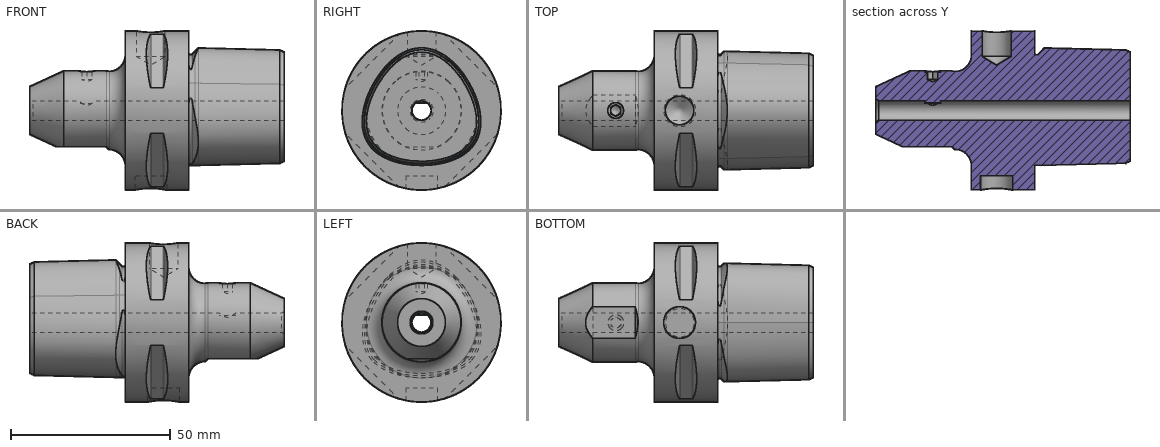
import cadquery as cq
import math

cone_end_x = 10.7
flange_front_x = 30.0
flange_back_x = 50.0
shank_neck_x = 51.9
taper_start_x = 52.9
taper_end_x = 78.5
total_length = 80.0

tip_diameter = 15.0
nose_diameter = 25.0
band_diameter = 24.6
band_start_x = 24.0
root_fillet = 5.0
flange_diameter = 50.0

nose_flat_z = -11.4

shank_mean_radius = 18.5
lobe_height = 1.2
points_per_lobe = 24
taper_per_length = 0.025
end_chamfer = 0.7

relief_diameter = 35.7
relief_hollow = 0.2
relief_floor_width = 1.1
relief_depth = 3.2

bore_diameter = 6.0
mouth_diameter = 7.2
mouth_depth = 1.0

screw_x = 17.9
screw_diameter = 5.0
screw_tip_z = 2.3
screw_top_z = 12.2
socket_width = 3.2
socket_depth = 2.4
socket_cone_depth = 0.6

drill_x = 38.0
drill_diameter = 9.0
drill_depth = 8.0
drill_point_angle = 118.0
pocket_diameter = 10.0
pocket_depth = 4.5

slot_x = 40.0
slot_floor_width = 4.0
slot_top_width = 6.7
slot_floor_radius = 22.0
slot_floor_fillet = 0.4


def make_turned_body():
    """Cone-tipped nose blended into the round flange."""
    band_radius = band_diameter / 2
    fillet_start_x = flange_front_x - root_fillet
    arc_offset = root_fillet * math.sqrt(0.5)
    fillet_middle = (fillet_start_x + arc_offset, band_radius + root_fillet - arc_offset)
    profile = (
        cq.Workplane("XZ")
        .moveTo(0, 0)
        .lineTo(0, tip_diameter / 2)
        .lineTo(cone_end_x, nose_diameter / 2)
        .lineTo(band_start_x, nose_diameter / 2)
        .lineTo(fillet_start_x, band_radius)
        .threePointArc(fillet_middle, (flange_front_x, band_radius + root_fillet))
        .lineTo(flange_front_x, flange_diameter / 2)
        .lineTo(flange_back_x, flange_diameter / 2)
        .lineTo(flange_back_x, 0)
        .close()
    )
    return profile.revolve(360, (0, 0, 0), (1, 0, 0))


def make_nose_flat():
    """Cutter for the flat, ending in a 45 degree run-out."""
    depth = nose_diameter / 2 + nose_flat_z
    return (
        cq.Workplane("XZ")
        .moveTo(0, nose_flat_z)
        .lineTo(band_start_x, nose_flat_z)
        .lineTo(band_start_x + depth, nose_flat_z - depth)
        .lineTo(0, nose_flat_z - depth)
        .close()
        .extrude(nose_diameter / 2, both=True)
    )


def lobed_outline(x, mean_radius):
    """Closed three-lobed wire in the plane at x, one lobe toward +Z."""

    def point(angle):
        z = mean_radius * math.cos(angle) + lobe_height * math.cos(2 * angle)
        y = mean_radius * math.sin(angle) - lobe_height * math.sin(2 * angle)
        return cq.Vector(x, y, z)

    lobe_angle = 2 * math.pi / 3
    edges = []
    for lobe in range(3):
        start = (lobe - 0.5) * lobe_angle
        points = [point(start + lobe_angle * i / points_per_lobe) for i in range(points_per_lobe + 1)]
        edges.append(cq.Edge.makeSpline(points))
    return cq.Wire.assembleEdges(edges)


def make_shank():
    taper_end_radius = shank_mean_radius - taper_per_length * (taper_end_x - taper_start_x)
    sections = [
        lobed_outline(flange_back_x, shank_mean_radius),
        lobed_outline(shank_neck_x, shank_mean_radius),
        lobed_outline(taper_start_x, shank_mean_radius),
        lobed_outline(taper_end_x, taper_end_radius),
        lobed_outline(total_length, taper_end_radius - end_chamfer),
    ]
    return cq.Workplane(cq.Solid.makeLoft(sections, True))


def make_relief_groove():
    floor_end_x = flange_back_x + relief_floor_width
    floor_radius = relief_diameter / 2
    floor_middle = (flange_back_x + relief_floor_width / 2, floor_radius - relief_hollow)
    return (
        cq.Workplane("XZ")
        .moveTo(flange_back_x, floor_radius)
        .threePointArc(floor_middle, (floor_end_x, floor_radius))
        .lineTo(floor_end_x + relief_depth, floor_radius + relief_depth)
        .lineTo(flange_back_x, floor_radius + relief_depth)
        .close()
        .revolve(360, (0, 0, 0), (1, 0, 0))
    )


def make_bore():
    bore = cq.Workplane("YZ").circle(bore_diameter / 2).extrude(total_length)
    mouth = cq.Solid.makeCone(
        mouth_diameter / 2, bore_diameter / 2, mouth_depth, cq.Vector(0, 0, 0), cq.Vector(1, 0, 0)
    )
    return bore.union(cq.Workplane(mouth))


def make_screw_hole():
    """Round hole from the bore axis to the nose surface, for the set screw."""
    return (
        cq.Workplane("XY", origin=(screw_x, 0, 0))
        .circle(screw_diameter / 2)
        .extrude(nose_diameter / 2)
    )


def make_screw():
    """Set screw with a hexagon socket whose floor is a shallow cone."""
    blank = (
        cq.Workplane("XY", origin=(screw_x, 0, screw_tip_z))
        .circle(screw_diameter / 2)
        .extrude(screw_top_z - screw_tip_z)
    )
    corner_diameter = socket_width / math.cos(math.pi / 6)
    socket_floor_z = screw_top_z - socket_depth
    socket = (
        cq.Workplane("XY", origin=(screw_x, 0, socket_floor_z))
        .transformed(rotate=(0, 0, 90))
        .polygon(6, corner_diameter)
        .extrude(socket_depth)
    )
    point = cq.Solid.makeCone(
        socket_width / 2, 0, socket_cone_depth, cq.Vector(screw_x, 0, socket_floor_z), cq.Vector(0, 0, -1)
    )
    return blank.cut(socket).cut(cq.Workplane(point))


def make_drilled_hole():
    """Blind hole ending in a drill point."""
    radius = drill_diameter / 2
    floor_z = flange_diameter / 2 - drill_depth
    point_depth = radius / math.tan(math.radians(drill_point_angle / 2))
    hole = cq.Workplane("XY", origin=(drill_x, 0, floor_z)).circle(radius).extrude(drill_depth)
    point = cq.Solid.makeCone(radius, 0, point_depth, cq.Vector(drill_x, 0, floor_z), cq.Vector(0, 0, -1))
    return hole.union(cq.Workplane(point))


def make_pocket():
    return (
        cq.Workplane("XY", origin=(drill_x, 0, -flange_diameter / 2))
        .circle(pocket_diameter / 2)
        .extrude(pocket_depth)
    )


def make_gripper_slot(angle):
    """Straight slot with sloped walls, cut across the flange rim."""
    rim_radius = flange_diameter / 2
    return (
        cq.Workplane("XZ")
        .moveTo(slot_x - slot_floor_width / 2, slot_floor_radius)
        .lineTo(slot_x + slot_floor_width / 2, slot_floor_radius)
        .lineTo(slot_x + slot_top_width / 2, rim_radius)
        .lineTo(slot_x - slot_top_width / 2, rim_radius)
        .close()
        .extrude(rim_radius, both=True)
        .faces("<Z")
        .edges("|Y")
        .fillet(slot_floor_fillet)
        .rotate((0, 0, 0), (1, 0, 0), angle)
    )


shank = make_shank().cut(make_relief_groove())
result = make_turned_body().cut(make_nose_flat()).union(shank, clean=False)
for cutter in (make_bore(), make_screw_hole(), make_drilled_hole(), make_pocket()):
    result = result.cut(cutter, clean=False)
for slot_angle in (45, 135, 225, 315):
    result = result.cut(make_gripper_slot(slot_angle), clean=False)
result = result.union(make_screw(), clean=False)